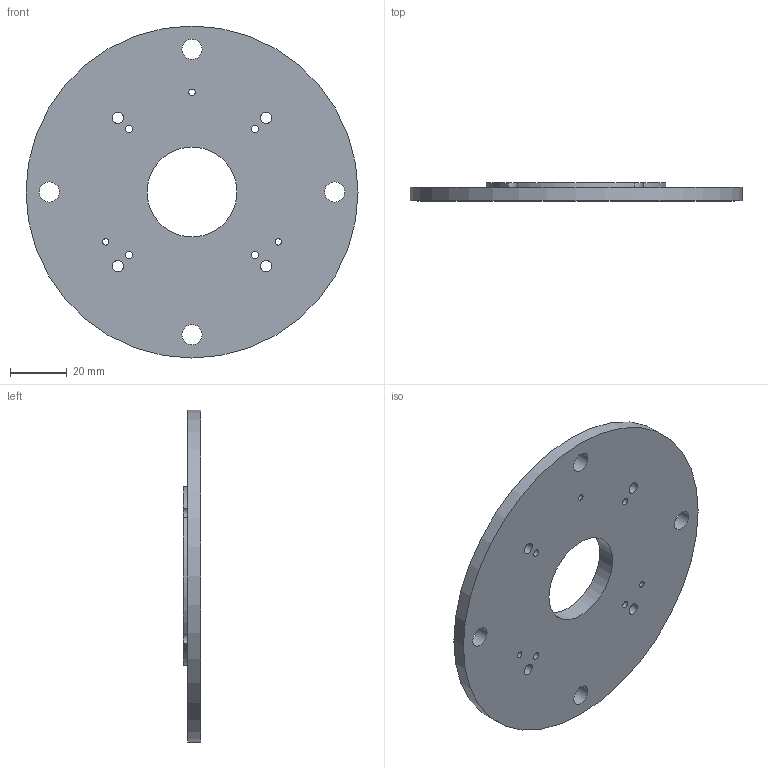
import cadquery as cq
import math

plate_diameter = 117.35
total_thickness = 6.35
boss_height = 1.5875
plate_thickness = total_thickness - boss_height
boss_diameter = 63.5
bore_diameter = 31.78

rim_hole_diameter = 7.14
rim_hole_radius = 50.4
rim_hole_count = 4
rim_hole_angle = 0
diagonal_count = 4
diagonal_angle = 45
mount_hole_diameter = 4.09
mount_hole_radius = 37.04
inner_hole_diameter = 2.5
inner_hole_radius = 31.5
triple_hole_diameter = 2.26
triple_hole_radius = 35.25
triple_hole_count = 3
triple_hole_angle = 90

relief_diameter = 4.5


def disc(diameter, start, length):
    """Solid disc about the Y axis, from Y = start toward +Y."""
    return cq.Workplane("XZ", origin=(0, start, 0)).circle(diameter / 2).extrude(-length)


def pin_circle(diameter, pitch_radius, count, first_angle, start, length):
    """Equally spaced cutting cylinders parallel to Y; angles are measured from +X toward +Z."""
    points = []
    for index in range(count):
        angle = math.radians(first_angle + index * 360 / count)
        points.append((pitch_radius * math.cos(angle), pitch_radius * math.sin(angle)))
    plane = cq.Workplane("XZ", origin=(0, start, 0))
    return plane.pushPoints(points).circle(diameter / 2).extrude(-length)


def through_holes(diameter, pitch_radius, count, first_angle):
    """Cutters for a circle of holes through the full thickness."""
    return pin_circle(diameter, pitch_radius, count, first_angle, 0, total_thickness)


body = disc(plate_diameter, 0, plate_thickness)
body = body.union(disc(boss_diameter, plate_thickness, boss_height))

body = body.cut(disc(bore_diameter, 0, total_thickness))

body = body.cut(through_holes(rim_hole_diameter, rim_hole_radius, rim_hole_count, rim_hole_angle))
body = body.cut(through_holes(mount_hole_diameter, mount_hole_radius, diagonal_count, diagonal_angle))
body = body.cut(through_holes(inner_hole_diameter, inner_hole_radius, diagonal_count, diagonal_angle))
body = body.cut(through_holes(triple_hole_diameter, triple_hole_radius, triple_hole_count, triple_hole_angle))

edge_reliefs = pin_circle(
    relief_diameter, inner_hole_radius, diagonal_count, diagonal_angle, plate_thickness, boss_height
)
body = body.cut(edge_reliefs)

result = body